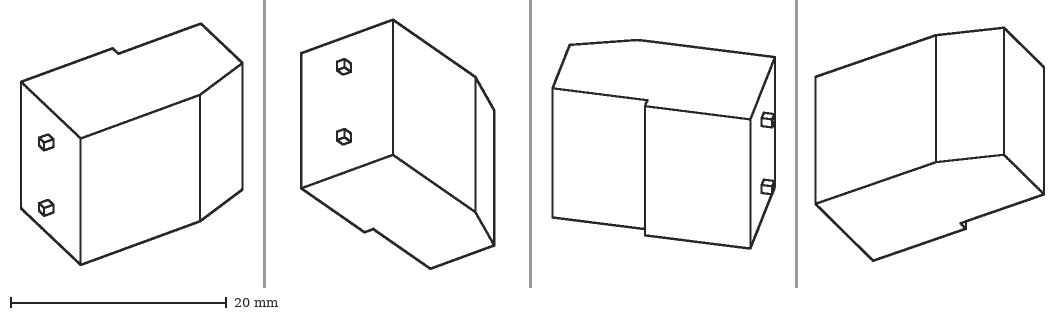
import cadquery as cq

body_width = 10.5
body_height = 14.5
body_length = 19.0

step_depth = 1.0
front_length = 10.0

slope_width = 2.18
slope_length = 6.0

pin_side = 0.9
pin_length = 1.0
pin_pitch = 7.5
pin_count = 2


def make_body():
    """Plan outline extruded upward, with its front face at Y = 0."""
    left = -body_width / 2
    right = body_width / 2
    outline = [
        (left, 0),
        (right, 0),
        (right, body_length - slope_length),
        (right - slope_width, body_length),
        (left + step_depth, body_length),
        (left + step_depth, front_length),
        (left, front_length),
    ]
    return cq.Workplane("XY").polyline(outline).close().extrude(body_height)


def make_pins():
    """Column of square pins standing out of the front face toward -Y."""
    return (
        cq.Workplane("XZ")
        .center(0, body_height / 2)
        .rarray(0.2, pin_pitch, 1, pin_count)
        .rect(pin_side, pin_side)
        .extrude(pin_length)
    )


result = make_body().union(make_pins())